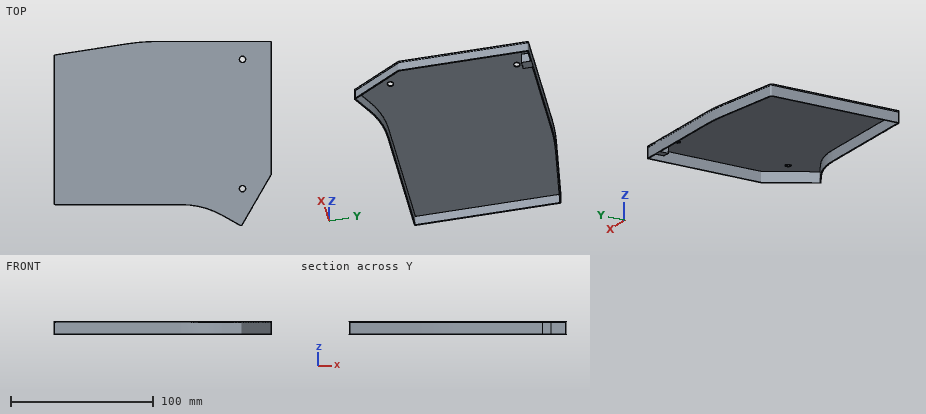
import cadquery as cq
import math

length = 152.5
width = 129.3
thickness = 9.0
skin_thickness = 0.8

top_y = width
lower_edge_y = 14.6
left_edge_top_y = 119.7
right_edge_bottom_y = 36.0

top_slope_angle = math.radians(8.8)
top_blend_radius = 144.9

tongue_angle = math.radians(29.3)
tongue_bend_start_x = 89.4
tongue_bend_radius = 58.5
tongue_tip_x = 131.5

corner_radius = 1.0

hole_diameter = 4.3
hole_x = 132.2
lower_hole_y = 25.9
hole_spacing = 90.7

block_left_x = 135.7
block_length = 6.1
block_front_y = 122.0


def bend_point(angle):
    """Point on the tongue bend after turning down by the given angle."""
    return (
        tongue_bend_start_x + tongue_bend_radius * math.sin(angle),
        lower_edge_y - tongue_bend_radius * (1 - math.cos(angle)),
    )


def make_plate():
    slope_crest_x = (top_y - left_edge_top_y) / math.tan(top_slope_angle)
    bend_end = bend_point(tongue_angle)
    tip = (tongue_tip_x, bend_end[1] - (tongue_tip_x - bend_end[0]) * math.tan(tongue_angle))

    plate = (
        cq.Workplane("XY")
        .moveTo(0, lower_edge_y)
        .lineTo(tongue_bend_start_x, lower_edge_y)
        .threePointArc(bend_point(tongue_angle / 2), bend_end)
        .lineTo(*tip)
        .lineTo(length, right_edge_bottom_y)
        .lineTo(length, top_y)
        .lineTo(slope_crest_x, top_y)
        .lineTo(0, left_edge_top_y)
        .close()
        .extrude(thickness)
    )

    def upright_edge_at(x, y):
        return cq.selectors.NearestToPointSelector((x, y, thickness / 2))

    plate = plate.edges(upright_edge_at(slope_crest_x, top_y)).fillet(top_blend_radius)
    rounded_corners = [
        (0, lower_edge_y),
        tip,
        (length, right_edge_bottom_y),
        (length, top_y),
        (0, left_edge_top_y),
    ]
    for corner in rounded_corners:
        plate = plate.edges(upright_edge_at(*corner)).fillet(corner_radius)
    return plate


def make_cavity(plate):
    """Hollow open at the bottom, leaving a skin of even thickness on the top and sides."""
    return (
        cq.Workplane("XY")
        .add(plate.faces("<Z").wires().vals())
        .toPending()
        .offset2D(-skin_thickness)
        .extrude(thickness - skin_thickness)
    )


def make_block():
    block_width = top_y - block_front_y
    return (
        cq.Workplane("XY")
        .box(block_length, block_width, thickness, centered=False)
        .translate((block_left_x, block_front_y, 0))
    )


def make_holes():
    centers = [(hole_x, lower_hole_y), (hole_x, lower_hole_y + hole_spacing)]
    return cq.Workplane("XY").pushPoints(centers).circle(hole_diameter / 2).extrude(thickness)


plate = make_plate()
result = plate.cut(make_cavity(plate)).union(make_block()).cut(make_holes())